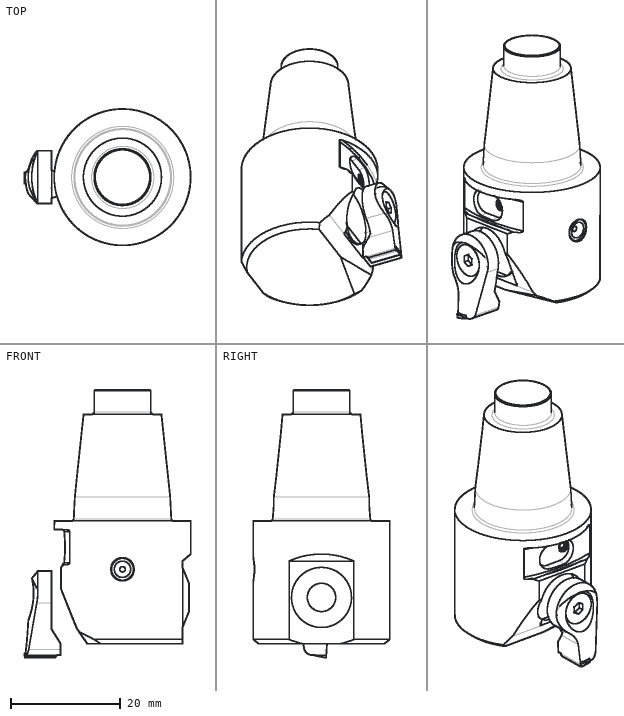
import cadquery as cq
import math


overall_length = 30.48
overall_height = 49.0

pilot_diameter = 10.4
shank_top = 24.0
pilot_bottom = 19.5
pilot_chamfer = 0.2
pilot_fillet = 0.5
taper_top_diameter = 14.3
taper_bottom_diameter = 17.5
taper_bottom = 4.4
collar_diameter = 17.9
collar_fillet = 0.4

head_diameter = 25.0
head_radius = head_diameter / 2
head_bottom = -22.5
rim_chamfer_width = 1.0
rim_chamfer_height = 0.8

front_flat_x = -11.27
front_slope_top = -12.45
crease_x = -8.4
crease_z = -19.65
front_foot_x = -6.45
corner_cut_points = [
    (front_foot_x, 0.36, head_bottom),
    (-3.96, -10.8, head_bottom),
    (-7.6, -9.67, -20.5),
]

window_y_min = -8.0
window_y_max = 7.7
window_top = -1.6
window_bottom = -8.0
window_floor_x = -10.7
window_floor_edge_x = -9.65
window_fillet = 0.35
window_lip_chamfer = 0.5
oval_y = 0.66
oval_z = -4.8
oval_length = 8.1
oval_width = 5.1
oval_mouth_x = -10.9
oval_floor_x = -9.6
oval_draft_inset = 0.4
peg_hole_y = -1.76
peg_hole_z = -4.34
peg_hole_steps = [(2.2, 0.3), (1.6, 0.5), (1.0, 1.5)]

cutter_axis_z = -14.0
seat_diameter = 10.0
seat_floor_x = -9.05
foot_slot_y_min = -seat_diameter / 2
foot_slot_y_max = 2.8
back_flat_x = 11.0
back_flat_top = -7.35
back_chamfer_top = -6.07
dial_diameter = 11.0
dial_face_diameter = 5.19
dial_height = 1.2

nipple_z = -8.85
nipple_diameter = 4.01
nipple_mouth_diameter = 4.25
nipple_face_y = -12.2
nipple_length = 4.0
nipple_cone_diameter = 3.0
nipple_cone_depth = 0.8
nipple_hole_diameter = 1.0
nipple_hole_depth = 2.5

cutter_back_x = -12.95
cutter_radius = 4.85
bevel_edge_x = -15.5
bevel_crest_x = -16.6
bevel_crest_radius = 3.5
crown_x = -16.9
crown_slope = 0.085
crown_radius = 9.3
crown_margin = 1.0
foot_back_x = -11.3
foot_flare_top = -19.85
foot_flare_bottom = -22.45
cutter_bottom = -24.55
outline_foot_right = (-3.17, -23.5)
outline_nose_middle = (-2.75, -24.15)
outline_nose_end = (-2.0, cutter_bottom)
outline_foot_left_y = 0.9
outline_neck = (1.15, -20.5)
outline_neck_middle = (1.75, -19.0)
neck_angle = 131.0
shank_side_angle = 12.0

tip_point_x = head_radius - overall_length
tip_bottom = shank_top - overall_height
tip_y_min = -1.25
tip_side_bottom = -24.65
tip_flat_width = 0.4
tip_top_drop = 0.4
tip_side_profile = [
    (-17.3, -23.6), (tip_point_x, -24.35), (-17.9, tip_bottom), (-12.3, tip_bottom), (-11.8, -24.4)
]

screw_face_x = -16.05
screw_head_diameter = 6.0
screw_head_height = 2.0
screw_stem_diameter = 4.0
screw_hex_flats = 2.0
screw_hex_depth = 1.0
screw_sink_flare = 2.0

reach = 40.0


def x_cylinder(diameter, z, x_start, x_end, y=0.0):
    """Cylinder along X between two X positions."""
    disc = cq.Workplane("YZ", origin=(x_start, 0, 0)).center(y, z).circle(diameter / 2)
    return disc.extrude(x_end - x_start)


def x_cone(radius_start, radius_end, z, x_start, x_end):
    """Cone frustum around an X axis at height z, between two X positions."""
    return cq.Workplane(cq.Solid.makeCone(
        radius_start, radius_end, x_end - x_start, cq.Vector(x_start, 0, z), cq.Vector(1, 0, 0)
    ))


def xz_prism(points, y_min, y_max):
    """Polygon in the XZ plane extruded from y_min to y_max."""
    return cq.Workplane("XZ", origin=(0, y_max, 0)).polyline(points).close().extrude(y_max - y_min)


def block(x_min, x_max, y_min, y_max, z_min, z_max):
    """Box between the given limits."""
    box = cq.Workplane().box(x_max - x_min, y_max - y_min, z_max - z_min, centered=False)
    return box.translate((x_min, y_min, z_min))


def turned_blank():
    pilot_radius = pilot_diameter / 2
    collar_radius = collar_diameter / 2
    arc_inset = 1 - math.sqrt(0.5)
    return (
        cq.Workplane("XZ")
        .moveTo(0, shank_top)
        .lineTo(pilot_radius - pilot_chamfer, shank_top)
        .lineTo(pilot_radius, shank_top - pilot_chamfer)
        .lineTo(pilot_radius, pilot_bottom + pilot_fillet)
        .threePointArc(
            (pilot_radius + pilot_fillet * arc_inset, pilot_bottom + pilot_fillet * arc_inset),
            (pilot_radius + pilot_fillet, pilot_bottom))
        .lineTo(taper_top_diameter / 2, pilot_bottom)
        .lineTo(taper_bottom_diameter / 2, taper_bottom)
        .lineTo(collar_radius, collar_fillet)
        .threePointArc(
            (collar_radius + collar_fillet * arc_inset, collar_fillet * arc_inset),
            (collar_radius + collar_fillet, 0))
        .lineTo(head_radius, 0)
        .lineTo(head_radius, head_bottom + rim_chamfer_height)
        .lineTo(head_radius - rim_chamfer_width, head_bottom)
        .lineTo(0, head_bottom)
        .close()
        .revolve(360, (0, 0, 0), (0, 1, 0))
    )


def front_relief():
    """Flat and two slopes that take the -X side of the head away."""
    return xz_prism([
        (-reach, window_bottom),
        (front_flat_x + window_lip_chamfer, window_bottom),
        (front_flat_x, window_bottom - window_lip_chamfer),
        (front_flat_x, front_slope_top),
        (crease_x, crease_z),
        (front_foot_x, head_bottom),
        (-reach, head_bottom),
    ], -reach, reach)


def corner_relief():
    """Oblique plane across the bottom corner on the -Y side."""
    first, second, third = [cq.Vector(*point) for point in corner_cut_points]
    normal = (second - first).cross(third - first)
    plane = cq.Plane(origin=first.toTuple(), xDir=(second - first).toTuple(), normal=normal.toTuple())
    return cq.Workplane(plane).rect(reach, reach).extrude(reach)


def window():
    """Window with a shallow cylindrical floor and rounded floor edges."""
    floor = (
        cq.Workplane("XY", origin=(0, 0, window_bottom))
        .moveTo(-reach, window_y_min)
        .lineTo(window_floor_edge_x, window_y_min)
        .threePointArc((window_floor_x, 0), (window_floor_edge_x, window_y_max))
        .lineTo(-reach, window_y_max)
        .close()
        .extrude(window_top - window_bottom)
    )
    return floor.faces(">X").edges("<Z or >Z").fillet(window_fillet)


def oval_recess():
    """Drafted oval recess in the window floor."""
    depth = oval_floor_x - oval_mouth_x
    draft = math.degrees(math.atan2(oval_draft_inset, depth))
    outline = cq.Workplane("YZ", origin=(oval_mouth_x, 0, 0)).center(oval_y, oval_z)
    return outline.slot2D(oval_length, oval_width).extrude(depth, taper=draft)


def peg_hole():
    """Stepped hole in the floor of the oval recess."""
    hole = cq.Workplane()
    for diameter, depth in peg_hole_steps:
        hole = hole.union(x_cylinder(diameter, peg_hole_z, oval_mouth_x, oval_floor_x + depth, peg_hole_y))
    return hole


def cutter_seat():
    """Round seat, and a deeper slot below it for the foot of the cutter."""
    seat = x_cylinder(seat_diameter, cutter_axis_z, -reach, seat_floor_x)
    slot = block(-reach, crease_x, foot_slot_y_min, foot_slot_y_max, head_bottom, cutter_axis_z)
    island = x_cylinder(seat_diameter, cutter_axis_z, -reach, 0)
    return seat.union(slot.cut(island))


def back_relief():
    """Flat with a sloped run-out on the +X side of the head."""
    return xz_prism([
        (head_radius, back_chamfer_top),
        (back_flat_x, back_flat_top),
        (back_flat_x, head_bottom),
        (reach, head_bottom),
        (reach, back_chamfer_top),
    ], -reach, reach)


def nipple_hole():
    """Hole that fits the nipple, with a slightly wider mouth in front of it."""
    hole = cq.Workplane("XZ", origin=(0, nipple_face_y, nipple_z))
    pocket = hole.circle(nipple_diameter / 2).extrude(-nipple_length)
    return pocket.union(hole.circle(nipple_mouth_diameter / 2).extrude(head_radius))


def build_housing():
    """Shank and head in one piece, with the conical dial on the +X flat."""
    dial = x_cone(
        dial_diameter / 2, dial_face_diameter / 2, cutter_axis_z,
        back_flat_x, back_flat_x + dial_height)
    return (
        turned_blank()
        .cut(front_relief())
        .cut(corner_relief())
        .cut(window())
        .cut(oval_recess())
        .cut(peg_hole())
        .cut(cutter_seat())
        .cut(back_relief())
        .cut(nipple_hole())
        .union(dial)
    )


def build_nipple():
    """Plug with a conical mouth leading to a small bore."""
    face = cq.Workplane("XZ", origin=(0, nipple_face_y, nipple_z))
    bore = face.circle(nipple_hole_diameter / 2).extrude(-nipple_hole_depth)
    mouth = cq.Solid.makeCone(
        nipple_cone_diameter / 2, nipple_hole_diameter / 2, nipple_cone_depth,
        cq.Vector(0, nipple_face_y, nipple_z), cq.Vector(0, 1, 0))
    return face.circle(nipple_diameter / 2).extrude(-nipple_length).cut(bore).cut(cq.Workplane(mouth))


def ring_point(angle):
    """Point on the round end of the cutter, angle in degrees from +Y towards +Z."""
    turn = math.radians(angle)
    return (cutter_radius * math.cos(turn), cutter_axis_z + cutter_radius * math.sin(turn))


def cutter_outline():
    """Ring with a narrow shank, extruded along X."""
    return (
        cq.Workplane("YZ", origin=(tip_point_x, 0, 0))
        .moveTo(*ring_point(180 + shank_side_angle))
        .lineTo(*outline_foot_right)
        .threePointArc(outline_nose_middle, outline_nose_end)
        .lineTo(outline_foot_left_y, cutter_bottom)
        .lineTo(*outline_neck)
        .threePointArc(outline_neck_middle, ring_point(neck_angle - 180))
        .threePointArc(ring_point(90), ring_point(180 + shank_side_angle))
        .close()
        .extrude(foot_back_x - tip_point_x)
    )


def cutter_crown():
    """Bar with a cylindrical outer face that leans outwards towards the tip."""
    top = cutter_axis_z + cutter_radius
    height = top - cutter_bottom
    half_width = cutter_radius + crown_margin
    crest_x = crown_x + crown_slope * (top - cutter_axis_z)
    side_x = crest_x + crown_radius - math.sqrt(crown_radius ** 2 - half_width ** 2)
    section = (
        cq.Workplane("XY", origin=(0, 0, top))
        .moveTo(0, -half_width)
        .lineTo(side_x, -half_width)
        .threePointArc((crest_x, 0), (side_x, half_width))
        .lineTo(0, half_width)
        .close()
    )
    lean = cq.Vector(-crown_slope * height, 0, -height)
    return cq.Workplane(cq.Solid.extrudeLinear(section.val(), [], lean))


def cutter_back():
    """Space behind the cutter, above its flared foot."""
    return xz_prism([
        (cutter_back_x, 0),
        (cutter_back_x, foot_flare_top),
        (foot_back_x, foot_flare_bottom),
        (0, foot_flare_bottom),
        (0, 0),
    ], -reach, reach)


def cutter_bevel():
    """Space outside the conical bevel around the upper half of the ring."""
    growth = (cutter_radius - bevel_crest_radius) / (bevel_edge_x - bevel_crest_x)
    far_radius = cutter_radius - growth * (bevel_edge_x - tip_point_x)
    cone = x_cone(far_radius, cutter_radius, cutter_axis_z, tip_point_x, bevel_edge_x)
    upper = block(tip_point_x, bevel_edge_x, -reach, reach, cutter_axis_z, 0)
    return upper.cut(cone)


def cutting_tip():
    """Cutting edge at the bottom of the cutter."""
    profile = xz_prism(tip_side_profile, tip_y_min, outline_foot_left_y)
    top = tip_side_profile[0][1]
    face = (
        cq.Workplane("YZ", origin=(tip_point_x, 0, 0))
        .polyline([
            (outline_foot_left_y, top),
            (outline_foot_left_y, tip_bottom),
            (outline_foot_left_y - tip_flat_width, tip_bottom),
            (tip_y_min, tip_side_bottom),
            (tip_y_min, top - tip_top_drop),
        ])
        .close()
        .extrude(foot_back_x - tip_point_x)
    )
    return profile.intersect(face)


def screw_sink():
    """Conical recess in front of the screw head."""
    sink_radius = screw_head_diameter / 2
    return x_cone(
        sink_radius + screw_sink_flare, sink_radius, cutter_axis_z,
        screw_face_x - screw_sink_flare, screw_face_x)


def screw_blank():
    """Screw head and stem without the hexagon socket."""
    head_end = screw_face_x + screw_head_height
    head = x_cylinder(screw_head_diameter, cutter_axis_z, screw_face_x, head_end)
    return head.union(x_cylinder(screw_stem_diameter, cutter_axis_z, head_end, cutter_back_x))


def build_cutter():
    """Cutter arm with its tip and the hole for the clamp screw."""
    return (
        cutter_outline()
        .intersect(cutter_crown())
        .cut(cutter_back())
        .cut(cutter_bevel())
        .union(cutting_tip())
        .cut(screw_sink())
        .cut(screw_blank())
    )


def build_screw():
    """Clamp screw with a hexagon socket."""
    across_corners = screw_hex_flats / math.cos(math.pi / 6)
    socket = (
        cq.Workplane("YZ", origin=(screw_face_x, 0, cutter_axis_z))
        .transformed(rotate=(0, 0, 90))
        .polygon(6, across_corners)
        .extrude(screw_hex_depth)
    )
    return screw_blank().cut(socket)


housing = build_housing()
nipple = build_nipple()
cutter = build_cutter()
screw = build_screw()

result = cq.Compound.makeCompound([housing.val(), nipple.val(), cutter.val(), screw.val()])